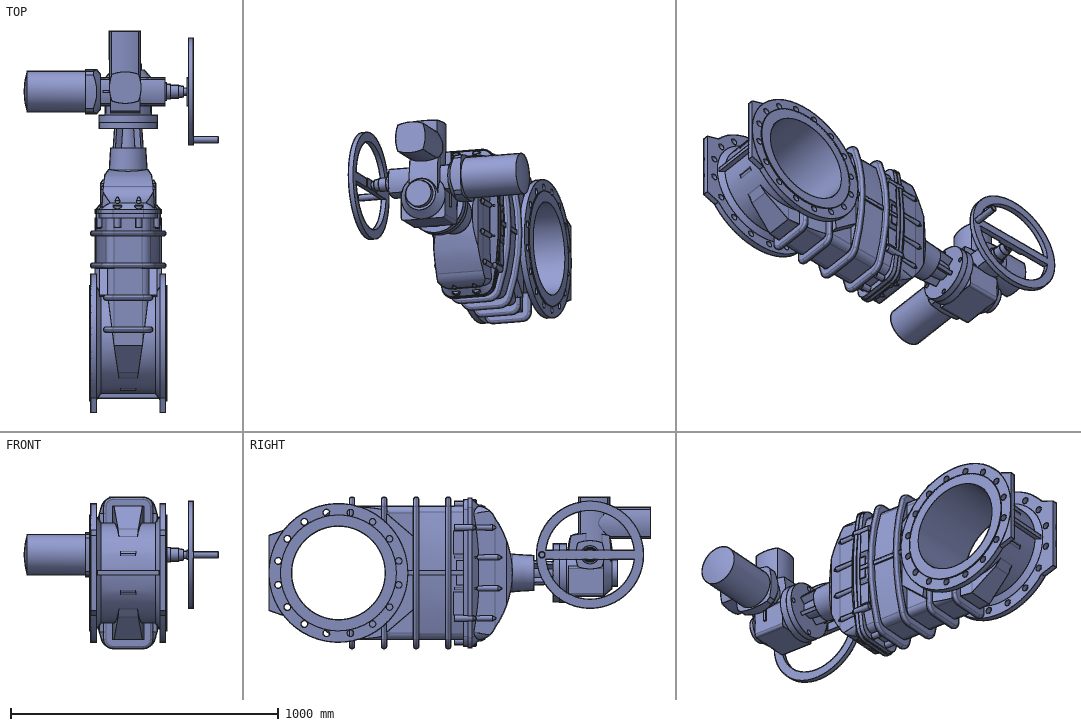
import cadquery as cq
import math


OVERALL_LENGTH_X = 728
OVERALL_LENGTH_Y = 1428.5

FACE_TO_FACE = 290
BORE_D = 350
PIPE_R = 188
FLANGE_R = 260
FLANGE_T = 22
RAISED_FACE_R = 217
RAISED_FACE_T = 4.5
HUB_R = 211
HUB_LENGTH = 17
BOLT_COUNT = 16
BOLT_CIRCLE_R = 230
BOLT_HOLE_D = 24.5
FOOT_T = 21
FOOT_HALF_WIDTH = 141
FOOT_ROOT_HALF_WIDTH = 160
WEB_T = 17
WEB_BOTTOM_R = 206

FLANGE_OUTER_X = FACE_TO_FACE / 2 - RAISED_FACE_T
FLANGE_INNER_X = FLANGE_OUTER_X - FLANGE_T
HUB_INNER_X = FLANGE_INNER_X - HUB_LENGTH

BODY_HALF_Z = 250
BODY_END_HALF_X = 75
BODY_CORNER_R = 32
BODY_HALF_X = 120
BODY_BOTTOM_Y = 280
SEAT_HALF_X = 107
SEAT_TOP_HALF_Z = 137
SEAT_CORNER = (181, 222)
SEAT_INNER_CORNER = (175, 100)
CHANNEL_HALF_X = 78
CHANNEL_CORNER_R = 25
CHANNEL_TAPER_Y = 190
CHANNEL_BEND_HALF_X = 53
CHANNEL_TIP_HALF_X = 28
CHANNEL_BEND_Y = -8
CHANNEL_KNEE = (-109, 165)
CHANNEL_TIP = (-176, 72)

RIB_T = 20
RIB_EDGE_R = 9
RIB_COUNT = 4
WIDE_RIB_COUNT = 2
RIB_PITCH = 120
FIRST_RIB_Y = 411
RIB_HALF_Z = 284
WIDE_RIB_HALF_X = 141
WIDE_RIB_END_HALF_X = 88
NARROW_RIB_HALF_X = 92
RIB_CORNER_R = 50
NARROW_RIB_CORNER_R = 35

FLARE_TOP_Y = 525
JOINT_TOP_Y = 500
JOINT_SPLIT_Y = 485
JOINT_BOTTOM_Y = 469
JOINT_HALF_Z = 281
JOINT_HALF_X = 125
JOINT_END_HALF_X = 94
JOINT_CORNER_R = 45
LOWER_JOINT_STEP_X = 4
LOWER_JOINT_STEP_Z = 6
FLARE_STEP_X = 2
FLARE_STEP_Z = 4
FLARE_CHAMFER = 24
DOME_HALF_Z = 250
DOME_BASE_HALF_X = 100
DOME_SECTION_HALF_X = 101
DOME_SECTION_END_HALF_X = 98
DOME_CORNER_R = 35
DOME_HALF_X = 93
DOME_SHOULDER = (88, 630)
DOME_TOP_HALF_X = 73
DOME_CROWN_Y = 558
DOME_CROWN_Z = 239
DOME_CREASE_Y = 586
DOME_CREASE_Z = 206
BONNET_TOP_Y = 651
NECK_BASE_R = 71
NECK_TOP_R = 66
NECK_TOP_Y = 732

YOKE_TOP_Y = 804
YOKE_BASE_R = 38
YOKE_TOP_R = 32
FIN_BASE_R = 66
FIN_TOP_R = 60
FIN_T = 14
FIN_ANGLES = (38, 142, 218, 322)

BOLT_D = 24.5
BOLT_BOTTOM_Y = 434
BOLT_TOP_Y = 517
END_BOLT_TOP_Y = 506
BOLT_HEAD_D = 36
BOLT_HEAD_BOTTOM_Y = 490
BOLT_HEAD_CHAMFER = 4
BOSS_TIP_LENGTH = 14
BOSS_TIP_R = 2
SIDE_BOLT_X = 106
SIDE_BOSS_D = 21
SIDE_BOSSES = ((-170, 590), (-58, 612), (58, 612), (170, 590))
END_BOLT_X = 40
END_BOLT_Z = 257
END_BOSS_D = 18
END_BOSS_Z = 246
END_BOSS_TIP_Y = 548
MIDDLE_PAD_HALF_X = 123
MIDDLE_PAD_HALF_Z = 46
MIDDLE_PAD_BOTTOM_Y = 443
OUTER_PAD_HALF_X = 118
OUTER_PAD_Z = (71, 157)
OUTER_PAD_BOTTOM_Y = 430

MOUNT_FLANGE_R = 110
LOWER_MOUNT_R = 109.5
MOUNT_FLANGE_TOP_Y = 854
MOUNT_SPLIT_Y = 827
MOUNT_HOLE_COUNT = 4
MOUNT_HOLE_D = 18
MOUNT_HOLE_CIRCLE_R = 95
GEARBOX_R = 87.5
GEARBOX_TOP_Y = 992
GEARBOX_CONE_R = 60
INDICATOR_R = 50.3
INDICATOR_BASE_Y = 1024
INDICATOR_TOP_Y = 1045
LOWER_CASE_BOTTOM_Y = 862
LOWER_CASE_TOP_Z = 28
LOWER_CASE_CORNER_R = 11
ACTUATOR_END_Y = OVERALL_LENGTH_Y - FLANGE_R
DRIVE_Y = 942
DRIVE_Z = 68
MOTOR_R = 76.5
MOTOR_TIP_X = -390
MOTOR_DOME_X = -378
MOTOR_ADAPTER_X = -160
ADAPTER_W = 166
ADAPTER_BULGE = 10
ADAPTER_CORNER_R = 98
ADAPTER_END_R = 65
ADAPTER_TAPER_X = -130
ADAPTER_END_X = -103
PEG_X = (-94, -72)
PEG_T = 8
PEG_REACH = 105
WORM_CASE_W = 106
WORM_CASE_BULGE = 8
WORM_CASE_X = (-140, 138)
TOWER_X = -11
TOWER_Y = 957
TOWER_TOP_Z = 284
HOUSING_W = 118
HOUSING_BULGE = 9
BASE_W = 160
BASE_BULGE = 8
BASE_LENGTH = 112
TERMINAL_X = -12
TERMINAL_Z = 187
TERMINAL_INNER_Y = 971
TERMINAL_TAPER_LENGTH = 41
TERMINAL_END_HALF_Z = 18

SHAFT_STEPS = (
    (130, 144, 34, 34),
    (144, 158, 28, 28),
    (158, 188, 24.9, 24.9),
    (188, 208, 23, 19.9),
    (208, 225, 14, 14),
)
WHEEL_R = 201
WHEEL_RIM_W = 35
WHEEL_X = 225
WHEEL_T = 19
WHEEL_SPOKE_W = 34
HUB_PAD_T = 5
HUB_PAD_LENGTH = 106
GRIP_D = 24.5
GRIP_CHAMFER = 2
GRIP_TIP_X = MOTOR_TIP_X + OVERALL_LENGTH_X
GRIP_OFFSET = 180


def cylinder_x(radius, x_start, x_end, y=0.0, z=0.0):
    """Cylinder along X."""
    return cq.Workplane("YZ", origin=(x_start, y, z)).circle(radius).extrude(x_end - x_start)


def revolve_x(half_profile, y=0.0, z=0.0):
    """Turned solid from (x, radius) points about a line along X."""
    points = [(half_profile[0][0], 0)] + half_profile + [(half_profile[-1][0], 0)]
    turned = cq.Workplane("XY").polyline(points).close().revolve(360, (0, 0, 0), (1, 0, 0))
    return turned.translate((0, y, z))


def revolve_y(half_profile):
    """Turned solid from (y, radius) points about the stem axis."""
    points = [(0, half_profile[0][0])] + [(r, y) for y, r in half_profile] + [(0, half_profile[-1][0])]
    return cq.Workplane("XY").polyline(points).close().revolve(360, (0, 0, 0), (0, 1, 0))


def box(x_range, y_range, z_range):
    """Box from its (start, end) range along each axis."""
    sizes = [end - start for start, end in (x_range, y_range, z_range)]
    corner = (x_range[0], y_range[0], z_range[0])
    return cq.Workplane("XY").box(*sizes, centered=False).translate(corner)


def oval_prism(half_x, end_half_x, half_z, corner_r, y_start, y_end):
    """Flat-ended outline in XZ with bowed sides and rounded corners, extended along Y."""
    outline = (
        cq.Workplane("XZ", origin=(0, y_start, 0))
        .moveTo(-end_half_x, half_z)
        .lineTo(end_half_x, half_z)
        .threePointArc((half_x, 0), (end_half_x, -half_z))
        .lineTo(-end_half_x, -half_z)
        .threePointArc((-half_x, 0), (-end_half_x, half_z))
        .close()
    )
    return outline.extrude(y_start - y_end).edges("|Y").fillet(corner_r)


def mirrored_prism_x(half_outline, half_x):
    """Prism along X whose YZ outline is given as (y, z) points for +Z and mirrored to -Z."""
    points = half_outline + [(y, -z) for y, z in reversed(half_outline)]
    return cq.Workplane("YZ", origin=(-half_x, 0, 0)).polyline(points).close().extrude(2 * half_x)


def mirrored_prism_z(half_outline, half_z):
    """Prism along Z whose XY outline is given as (x, y) points for +X and mirrored to -X."""
    points = half_outline + [(-x, y) for x, y in reversed(half_outline)]
    return cq.Workplane("XY", origin=(0, 0, -half_z)).polyline(points).close().extrude(2 * half_z)


def bulged_square(plane, width, bulge, length):
    """Prism with a square section whose four sides bow outwards, width measured over the bows."""
    outer = width / 2
    corner = outer - bulge
    return (
        cq.Workplane(plane)
        .moveTo(-corner, -corner)
        .threePointArc((0, -outer), (corner, -corner))
        .threePointArc((outer, 0), (corner, corner))
        .threePointArc((0, outer), (-corner, corner))
        .threePointArc((-outer, 0), (-corner, -corner))
        .close()
        .extrude(length)
    )


def end_flange(side):
    """Flange disc with raised face, hub cone and flat-bottomed foot; side is -1 or 1."""
    disc = cylinder_x(FLANGE_R, FLANGE_INNER_X, FLANGE_OUTER_X)
    foot_root_y = -math.sqrt(FLANGE_R**2 - FOOT_ROOT_HALF_WIDTH**2)
    foot_outline = [
        (0, FOOT_ROOT_HALF_WIDTH),
        (foot_root_y, FOOT_ROOT_HALF_WIDTH),
        (-FLANGE_R, FOOT_HALF_WIDTH),
    ]
    foot = mirrored_prism_x(foot_outline, FOOT_T / 2).translate((FLANGE_INNER_X + FOOT_T / 2, 0, 0))
    raised_face = cylinder_x(RAISED_FACE_R, FLANGE_OUTER_X, FACE_TO_FACE / 2)
    hub = revolve_x([(HUB_INNER_X, PIPE_R), (FLANGE_INNER_X, HUB_R)])
    flange = disc.union(foot).union(raised_face).union(hub)
    holes = (
        cq.Workplane("YZ", origin=(FLANGE_INNER_X, 0, 0))
        .polarArray(BOLT_CIRCLE_R, 180 / BOLT_COUNT, 360, BOLT_COUNT)
        .circle(BOLT_HOLE_D / 2)
        .extrude(FACE_TO_FACE / 2 - FLANGE_INNER_X)
    )
    flange = flange.cut(holes)
    return flange if side > 0 else flange.mirror("YZ")


def bottom_web():
    """Web joining the hubs of the two flanges under the pipe."""
    return box((-FLANGE_INNER_X, FLANGE_INNER_X), (-WEB_BOTTOM_R, -BORE_D / 2), (-WEB_T / 2, WEB_T / 2))


def gate_housing():
    """Oval upper housing, seat bosses beside the bore and the tapering gate channel around it."""
    upper = oval_prism(
        BODY_HALF_X, BODY_END_HALF_X, BODY_HALF_Z, BODY_CORNER_R, BODY_BOTTOM_Y, JOINT_BOTTOM_Y
    )
    seat_outline = [(BODY_BOTTOM_Y, SEAT_TOP_HALF_Z), SEAT_CORNER, SEAT_INNER_CORNER]
    seat = mirrored_prism_x(seat_outline, SEAT_HALF_X)
    channel_side = [
        (BODY_BOTTOM_Y, BODY_HALF_Z),
        (CHANNEL_BEND_Y, BODY_HALF_Z),
        CHANNEL_KNEE,
        CHANNEL_TIP,
    ]
    channel_plan = [
        (CHANNEL_HALF_X, BODY_BOTTOM_Y),
        (CHANNEL_HALF_X, CHANNEL_TAPER_Y),
        (CHANNEL_BEND_HALF_X, CHANNEL_BEND_Y),
        (CHANNEL_TIP_HALF_X, CHANNEL_TIP[0]),
    ]
    channel = mirrored_prism_x(channel_side, BODY_HALF_X)
    channel = channel.intersect(mirrored_prism_z(channel_plan, BODY_HALF_Z))
    rounding = box(
        (-CHANNEL_HALF_X, CHANNEL_HALF_X), (-FLANGE_R, JOINT_BOTTOM_Y), (-BODY_HALF_Z, BODY_HALF_Z)
    )
    rounding = rounding.edges("|Y").fillet(CHANNEL_CORNER_R)
    web = box((-JOINT_HALF_X, JOINT_HALF_X), (0, JOINT_BOTTOM_Y), (-WEB_T / 2, WEB_T / 2))
    return upper.union(seat).union(channel.intersect(rounding)).union(web)


def strap_ribs():
    """Two ribs running round the housing and two short ones straddling the bore."""
    ribs = cq.Workplane("XY")
    for index in range(RIB_COUNT):
        y = FIRST_RIB_Y - index * RIB_PITCH
        y_range = (y - RIB_T / 2, y + RIB_T / 2)
        if index < WIDE_RIB_COUNT:
            rib = oval_prism(WIDE_RIB_HALF_X, WIDE_RIB_END_HALF_X, RIB_HALF_Z, RIB_CORNER_R, *y_range)
        else:
            x_range = (-NARROW_RIB_HALF_X, NARROW_RIB_HALF_X)
            rib = box(x_range, y_range, (-RIB_HALF_Z, RIB_HALF_Z)).edges("|Y").fillet(NARROW_RIB_CORNER_R)
        ribs = ribs.union(rib.faces("<Y or >Y").edges().fillet(RIB_EDGE_R))
    return ribs


def joint_plate(step_x, step_z, y_start, y_end):
    """Oval plate of the bonnet joint, stepped in from the full joint outline."""
    half_x = JOINT_HALF_X - step_x
    half_z = JOINT_HALF_Z - step_z
    return oval_prism(half_x, JOINT_END_HALF_X, half_z, JOINT_CORNER_R, y_start, y_end)


def bonnet():
    """Domed bonnet on its bolted joint, with the stem neck."""
    lower = joint_plate(LOWER_JOINT_STEP_X, LOWER_JOINT_STEP_Z, JOINT_BOTTOM_Y, JOINT_SPLIT_Y)
    upper = joint_plate(0, 0, JOINT_SPLIT_Y, JOINT_TOP_Y)
    flare = joint_plate(FLARE_STEP_X, FLARE_STEP_Z, JOINT_TOP_Y, FLARE_TOP_Y)
    flare = flare.faces(">Y").edges().chamfer(FLARE_CHAMFER)
    dome_arch = (
        cq.Workplane("YZ", origin=(-JOINT_HALF_X, 0, 0))
        .moveTo(JOINT_SPLIT_Y, DOME_HALF_Z)
        .lineTo(FLARE_TOP_Y, DOME_HALF_Z)
        .threePointArc((DOME_CROWN_Y, DOME_CROWN_Z), (DOME_CREASE_Y, DOME_CREASE_Z))
        .threePointArc((BONNET_TOP_Y, 0), (DOME_CREASE_Y, -DOME_CREASE_Z))
        .threePointArc((DOME_CROWN_Y, -DOME_CROWN_Z), (FLARE_TOP_Y, -DOME_HALF_Z))
        .lineTo(JOINT_SPLIT_Y, -DOME_HALF_Z)
        .close()
        .extrude(2 * JOINT_HALF_X)
    )
    dome_plan = [
        (DOME_BASE_HALF_X, JOINT_SPLIT_Y),
        (DOME_HALF_X, DOME_CREASE_Y),
        DOME_SHOULDER,
        (DOME_TOP_HALF_X, BONNET_TOP_Y),
    ]
    dome_section = oval_prism(
        DOME_SECTION_HALF_X,
        DOME_SECTION_END_HALF_X,
        DOME_HALF_Z,
        DOME_CORNER_R,
        JOINT_SPLIT_Y,
        BONNET_TOP_Y,
    )
    dome = dome_arch.intersect(mirrored_prism_z(dome_plan, JOINT_HALF_Z)).intersect(dome_section)
    neck = revolve_y([(JOINT_TOP_Y, NECK_BASE_R), (BONNET_TOP_Y, NECK_BASE_R), (NECK_TOP_Y, NECK_TOP_R)])
    return lower.union(upper).union(flare).union(dome).union(neck)


def boss(diameter, x, z, y_start, y_end, tip_length=BOSS_TIP_LENGTH):
    """Round boss along Y with a tapered upper tip."""
    tip_inset = min(tip_length, diameter / 2 - BOSS_TIP_R)
    return (
        cq.Workplane("XZ", origin=(x, y_start, z))
        .circle(diameter / 2)
        .extrude(y_start - y_end)
        .faces(">Y")
        .chamfer(tip_length, tip_inset)
    )


def bolt_bosses():
    """Bolts and bosses on both long sides and at both ends of the bonnet joint."""
    bosses = cq.Workplane("XY")
    for side in (-1, 1):
        for z, tip_y in SIDE_BOSSES:
            bosses = bosses.union(boss(SIDE_BOSS_D, side * DOME_HALF_X, z, JOINT_TOP_Y, tip_y))
            bosses = bosses.union(boss(BOLT_D, side * SIDE_BOLT_X, z, BOLT_BOTTOM_Y, BOLT_TOP_Y))
        for x in (-END_BOLT_X, END_BOLT_X):
            bolt_z = side * END_BOLT_Z
            bosses = bosses.union(boss(END_BOSS_D, x, side * END_BOSS_Z, JOINT_TOP_Y, END_BOSS_TIP_Y))
            bosses = bosses.union(boss(BOLT_D, x, bolt_z, BOLT_BOTTOM_Y, END_BOLT_TOP_Y))
            head = boss(BOLT_HEAD_D, x, bolt_z, BOLT_HEAD_BOTTOM_Y, BOLT_TOP_Y, BOLT_HEAD_CHAMFER)
            bosses = bosses.union(head)
    return bosses


def joint_blocks():
    """Thickened wall pads between the bolts below the bonnet joint."""
    pads = box(
        (-MIDDLE_PAD_HALF_X, MIDDLE_PAD_HALF_X),
        (MIDDLE_PAD_BOTTOM_Y, JOINT_BOTTOM_Y),
        (-MIDDLE_PAD_HALF_Z, MIDDLE_PAD_HALF_Z),
    )
    outer_pad = box(
        (-OUTER_PAD_HALF_X, OUTER_PAD_HALF_X), (OUTER_PAD_BOTTOM_Y, JOINT_BOTTOM_Y), OUTER_PAD_Z
    )
    return pads.union(outer_pad).union(outer_pad.mirror("XY"))


def yoke():
    """Stem cone with four diagonal fins carrying the actuator mount."""
    stem = revolve_y([(NECK_TOP_Y, YOKE_BASE_R), (YOKE_TOP_Y, YOKE_TOP_R)])
    fin_outline = [(0, NECK_TOP_Y), (FIN_BASE_R, NECK_TOP_Y), (FIN_TOP_R, YOKE_TOP_Y), (0, YOKE_TOP_Y)]
    fin = cq.Workplane("XY", origin=(0, 0, -FIN_T / 2)).polyline(fin_outline).close().extrude(FIN_T)
    for angle in FIN_ANGLES:
        stem = stem.union(fin.rotate((0, 0, 0), (0, 1, 0), angle))
    return stem


def mount_flange():
    """Pair of round mounting flanges under the gearbox."""
    lower = revolve_y([(YOKE_TOP_Y, LOWER_MOUNT_R), (MOUNT_SPLIT_Y, LOWER_MOUNT_R)])
    upper = revolve_y([(MOUNT_SPLIT_Y, MOUNT_FLANGE_R), (MOUNT_FLANGE_TOP_Y, MOUNT_FLANGE_R)])
    holes = (
        cq.Workplane("XZ", origin=(0, YOKE_TOP_Y, 0))
        .polarArray(MOUNT_HOLE_CIRCLE_R, 0, 360, MOUNT_HOLE_COUNT)
        .circle(MOUNT_HOLE_D / 2)
        .extrude(YOKE_TOP_Y - MOUNT_SPLIT_Y)
    )
    return lower.cut(holes).union(upper)


def gearbox():
    """Round gear case with its indicator cap, square lower case and the worm case across it."""
    case = revolve_y(
        [
            (MOUNT_FLANGE_TOP_Y, GEARBOX_R),
            (GEARBOX_TOP_Y, GEARBOX_R),
            (INDICATOR_BASE_Y, GEARBOX_CONE_R),
            (INDICATOR_BASE_Y, INDICATOR_R),
            (INDICATOR_TOP_Y, INDICATOR_R),
        ]
    )
    worm_case = bulged_square("YZ", WORM_CASE_W, WORM_CASE_BULGE, WORM_CASE_X[1] - WORM_CASE_X[0])
    worm_case = worm_case.translate((WORM_CASE_X[0], DRIVE_Y, DRIVE_Z))
    lower_case = box(
        (-GEARBOX_R, GEARBOX_R),
        (LOWER_CASE_BOTTOM_Y, GEARBOX_TOP_Y),
        (-GEARBOX_R, LOWER_CASE_TOP_Z),
    )
    lower_case = lower_case.edges("|Y").fillet(LOWER_CASE_CORNER_R)
    return case.union(lower_case).union(worm_case)


def motor():
    """Motor barrel with a shallow domed end, its corner-cut square adapter and locating pegs."""
    dome_height = MOTOR_DOME_X - MOTOR_TIP_X
    dome_r = (MOTOR_R**2 + dome_height**2) / (2 * dome_height)
    dome = cq.Workplane("XY").sphere(dome_r).translate((MOTOR_TIP_X + dome_r, DRIVE_Y, DRIVE_Z))
    barrel = cylinder_x(MOTOR_R, MOTOR_TIP_X, MOTOR_ADAPTER_X, DRIVE_Y, DRIVE_Z).intersect(dome)
    adapter = bulged_square("YZ", ADAPTER_W, ADAPTER_BULGE, ADAPTER_END_X - MOTOR_ADAPTER_X)
    adapter = adapter.translate((MOTOR_ADAPTER_X, DRIVE_Y, DRIVE_Z))
    turned_envelope = revolve_x(
        [
            (MOTOR_ADAPTER_X, ADAPTER_CORNER_R),
            (ADAPTER_TAPER_X, ADAPTER_CORNER_R),
            (ADAPTER_END_X, ADAPTER_END_R),
        ],
        DRIVE_Y,
        DRIVE_Z,
    )
    pegs = box(
        PEG_X, (DRIVE_Y - PEG_T / 2, DRIVE_Y + PEG_T / 2), (DRIVE_Z - PEG_REACH, DRIVE_Z + PEG_REACH)
    )
    return barrel.union(adapter.intersect(turned_envelope)).union(pegs)


def control_housing():
    """Upright control tower, its square base and the terminal box leaving it towards +Y."""
    tower = bulged_square("XY", HOUSING_W, HOUSING_BULGE, TOWER_TOP_Z - DRIVE_Z)
    tower = tower.translate((TOWER_X, TOWER_Y, DRIVE_Z))
    base = bulged_square("YZ", BASE_W, BASE_BULGE, BASE_LENGTH)
    base = base.translate((TOWER_X - BASE_LENGTH / 2, DRIVE_Y, DRIVE_Z))
    terminal_box = bulged_square("XZ", HOUSING_W, HOUSING_BULGE, ACTUATOR_END_Y - TERMINAL_INNER_Y)
    terminal_box = terminal_box.translate((TERMINAL_X, ACTUATOR_END_Y, TERMINAL_Z))
    end_outline = [
        (ACTUATOR_END_Y, HOUSING_W),
        (TERMINAL_INNER_Y + TERMINAL_TAPER_LENGTH, HOUSING_W / 2),
        (TERMINAL_INNER_Y, TERMINAL_END_HALF_Z),
    ]
    tapered_end = mirrored_prism_x(end_outline, HOUSING_W).translate((0, 0, TERMINAL_Z))
    return tower.union(base).union(terminal_box.intersect(tapered_end))


def handwheel():
    """Stepped drive shaft, rimmed wheel with one cross spoke, and crank grip."""
    shaft_profile = []
    for x_start, x_end, start_r, end_r in SHAFT_STEPS:
        shaft_profile += [(x_start, start_r), (x_end, end_r)]
    shaft = revolve_x(shaft_profile, DRIVE_Y, DRIVE_Z)
    rim = cylinder_x(WHEEL_R, WHEEL_X, WHEEL_X + WHEEL_T, DRIVE_Y, DRIVE_Z)
    rim = rim.cut(cylinder_x(WHEEL_R - WHEEL_RIM_W, WHEEL_X, WHEEL_X + WHEEL_T, DRIVE_Y, DRIVE_Z))
    spoke_reach = WHEEL_R - WHEEL_RIM_W / 2
    spoke_z = (DRIVE_Z - WHEEL_SPOKE_W / 2, DRIVE_Z + WHEEL_SPOKE_W / 2)
    spoke = box(
        (WHEEL_X, WHEEL_X + WHEEL_T), (DRIVE_Y - spoke_reach, DRIVE_Y + spoke_reach), spoke_z
    )
    hub_pad = box(
        (WHEEL_X - HUB_PAD_T, WHEEL_X),
        (DRIVE_Y - HUB_PAD_LENGTH / 2, DRIVE_Y + HUB_PAD_LENGTH / 2),
        spoke_z,
    )
    grip = cylinder_x(GRIP_D / 2, WHEEL_X, GRIP_TIP_X, DRIVE_Y - GRIP_OFFSET, DRIVE_Z)
    grip = grip.faces(">X").chamfer(GRIP_CHAMFER)
    return shaft.union(rim).union(spoke).union(hub_pad).union(grip)


def valve():
    """Complete valve, joined into one body and bored through."""
    parts = [
        end_flange(-1),
        end_flange(1),
        bottom_web(),
        gate_housing(),
        strap_ribs(),
        bonnet(),
        bolt_bosses(),
        joint_blocks(),
        yoke(),
        mount_flange(),
        gearbox(),
        motor(),
        control_housing(),
        handwheel(),
    ]
    assembled = cylinder_x(PIPE_R, -FLANGE_INNER_X, FLANGE_INNER_X)
    for part in parts:
        assembled = assembled.union(part)
    return assembled.cut(cylinder_x(BORE_D / 2, -FACE_TO_FACE / 2, FACE_TO_FACE / 2))


result = valve()